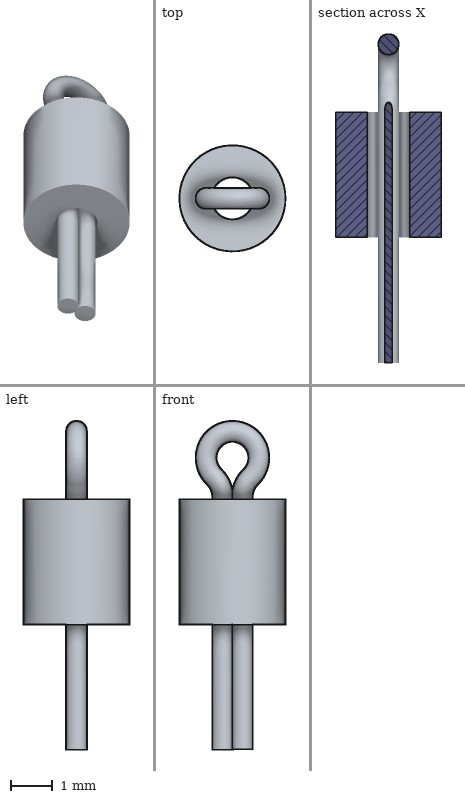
import cadquery as cq

total_height = 7.87
core_diameter = 2.54
hole_diameter = 1.0
core_bottom = 3.0
core_height = 3.0
wire_diameter = 0.5
leg_offset = 0.24
eye_radius = 0.63
neck_bottom = 6.06
right_leg_bottom = 0.015

wire_radius = wire_diameter / 2
eye_center = total_height - wire_radius - eye_radius
neck_mid_x = (leg_offset + eye_radius) / 2
neck_mid_z = (neck_bottom + eye_center) / 2


def make_core():
    """Cylindrical core with a through hole for the wire."""
    return (
        cq.Workplane("XY", origin=(0, 0, core_bottom))
        .circle(core_diameter / 2)
        .circle(hole_diameter / 2)
        .extrude(core_height)
    )


def make_wire_half(side, leg_bottom):
    """Leg, S-bent neck and quarter of the eye; side is -1 for left, 1 for right."""
    path = (
        cq.Workplane("XZ")
        .moveTo(side * leg_offset, leg_bottom)
        .lineTo(side * leg_offset, neck_bottom)
        .tangentArcPoint((side * neck_mid_x, neck_mid_z), relative=False)
        .tangentArcPoint((side * eye_radius, eye_center), relative=False)
        .tangentArcPoint((0, eye_center + eye_radius), relative=False)
    )
    section = cq.Workplane("XY", origin=(side * leg_offset, 0, leg_bottom)).circle(wire_radius)
    return section.sweep(path)


def make_wire():
    """One bent wire whose two halves join at the crown and along the pressed legs."""
    left_half = make_wire_half(-1, 0)
    right_half = make_wire_half(1, right_leg_bottom)
    return left_half.union(right_half)


core = make_core()
wire = make_wire()

result = cq.Compound.makeCompound([core.val(), *wire.solids().vals()])